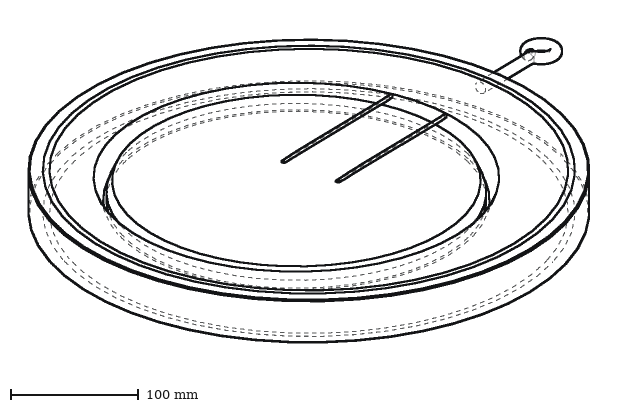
import cadquery as cq
import math

BODY_DIAMETER = 440.0
BODY_THICKNESS = 38.0
BODY_CHAMFER = 1.0
BODY_TOP = BODY_THICKNESS / 2
ORING_DIAMETER = 8.5
ORING_CENTRE_RADIUS = 206.0
ORING_PROTRUSION = 0.89

OPENING_CENTRE_Y = -16.0
OPENING_TOP_DIAMETER = 318.0
OPENING_FLOOR_DIAMETER = 303.0
OPENING_DEPTH = 20.0

PLATE_DIAMETER = 298.0
PLATE_DROP = 3.0
PLATE_TOP = BODY_TOP - PLATE_DROP
PLATE_BEVEL_WIDTH = 4.5
PLATE_BEVEL_HEIGHT = 10.0

WIRE_DIAMETER = 3.0
WIRE_SPACING = 54.0
WIRE_START_Y = 145.0
WIRE_UPPER_BEND_Y = 133.0
WIRE_LOWER_BEND_Y = 21.5
WIRE_END_Y = 1.5
WIRE_START_Z = BODY_TOP - WIRE_DIAMETER / 2
WIRE_MAIN_Z = PLATE_TOP + WIRE_DIAMETER / 4
WIRE_END_Z = PLATE_TOP

EYE_ROD_DIAMETER = 10.0
EYE_RING_RADIUS = 11.5
EYE_BEND_RADIUS = 5.2
EYE_TIP_Y = 314.23
EYE_CENTRE_Y = EYE_TIP_Y - EYE_RING_RADIUS - EYE_ROD_DIAMETER / 2
OVERLAP = 5.0


def make_body():
    disc = cq.Workplane("XY", origin=(0, 0, -BODY_TOP)).circle(BODY_DIAMETER / 2).extrude(BODY_THICKNESS)
    return disc.faces("|Z").edges().chamfer(BODY_CHAMFER)


def make_torus(ring_radius, tube_diameter, centre):
    return cq.Workplane(cq.Solid.makeTorus(ring_radius, tube_diameter / 2, cq.Vector(*centre)))


def make_opening():
    centre = cq.Vector(0, OPENING_CENTRE_Y, BODY_TOP - OPENING_DEPTH)
    floor_radius = OPENING_FLOOR_DIAMETER / 2
    top_radius = OPENING_TOP_DIAMETER / 2
    return cq.Workplane(cq.Solid.makeCone(floor_radius, top_radius, OPENING_DEPTH, centre))


def make_plate():
    height = OPENING_DEPTH - PLATE_DROP + OVERLAP
    return (
        cq.Workplane("XY", origin=(0, OPENING_CENTRE_Y, PLATE_TOP - height))
        .circle(PLATE_DIAMETER / 2)
        .extrude(height)
        .faces(">Z")
        .chamfer(PLATE_BEVEL_HEIGHT, PLATE_BEVEL_WIDTH)
    )


def make_wire(x):
    path = cq.Workplane("YZ", origin=(x, 0, 0)).polyline(
        [
            (WIRE_START_Y, WIRE_START_Z),
            (WIRE_UPPER_BEND_Y, WIRE_MAIN_Z),
            (WIRE_LOWER_BEND_Y, WIRE_MAIN_Z),
            (WIRE_END_Y, WIRE_END_Z),
        ]
    )
    start = cq.Plane(
        origin=(x, WIRE_START_Y, WIRE_START_Z),
        xDir=(1, 0, 0),
        normal=(0, WIRE_UPPER_BEND_Y - WIRE_START_Y, WIRE_MAIN_Z - WIRE_START_Z),
    )
    return cq.Workplane(start).circle(WIRE_DIAMETER / 2).sweep(path, transition="right")


def make_eye():
    rod_start_y = BODY_DIAMETER / 2 - OVERLAP
    centre_distance = EYE_RING_RADIUS + EYE_BEND_RADIUS
    mouth_half_angle = math.asin(EYE_BEND_RADIUS / centre_distance)
    bend_start_y = EYE_CENTRE_Y - centre_distance * math.cos(mouth_half_angle)
    mouth_x = EYE_RING_RADIUS * math.sin(mouth_half_angle)
    mouth_y = EYE_CENTRE_Y - EYE_RING_RADIUS * math.cos(mouth_half_angle)
    path = (
        cq.Workplane("XY")
        .moveTo(0, rod_start_y)
        .lineTo(0, bend_start_y)
        .tangentArcPoint((mouth_x, mouth_y), relative=False)
        .threePointArc((0, EYE_CENTRE_Y + EYE_RING_RADIUS), (-mouth_x, mouth_y))
    )
    section = cq.Workplane("XZ", origin=(0, rod_start_y, 0)).circle(EYE_ROD_DIAMETER / 2)
    return section.sweep(path)


result = make_body()

oring_z = BODY_TOP + ORING_PROTRUSION - ORING_DIAMETER / 2
for z in (-oring_z, oring_z):
    result = result.union(make_torus(ORING_CENTRE_RADIUS, ORING_DIAMETER, (0, 0, z)))
result = result.cut(make_opening()).union(make_plate())
for x in (-WIRE_SPACING / 2, WIRE_SPACING / 2):
    result = result.union(make_wire(x))
result = result.union(make_eye())